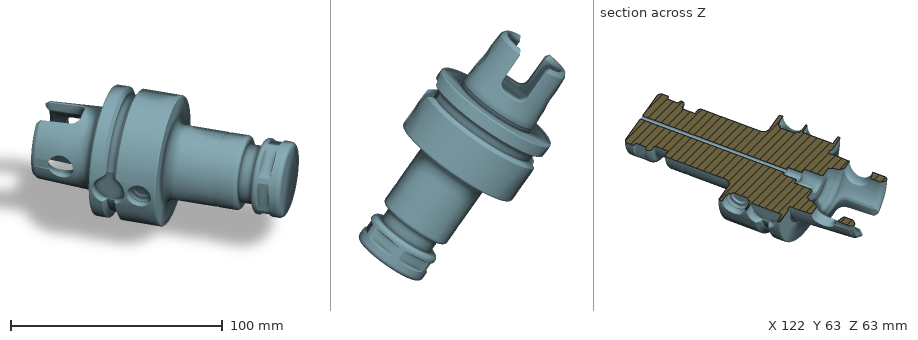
import cadquery as cq
import math

length = 122.0

tip_radius = 17.3
tip_chamfer_length = 1.8
taper_start_radius = 18.5
taper_end_radius = 20.1
taper_end_x = 30.4
neck_radius = 19.9
neck_groove_radius = 19.6
neck_groove_start_x = 30.9
neck_groove_end_x = 31.2
relief_inner_radius = 21.4
relief_outer_radius = 21.8
relief_depth = 0.6

flange_radius = 31.5
flange_start_x = 32.1
flange_end_x = 64.8
flange_edge_length = 0.6
flange_edge_drop = 0.4
groove_left_x = 38.3
groove_right_x = 45.3
groove_floor_left_x = 39.8
groove_floor_right_x = 43.7
groove_chamfer_drop = 2.3
groove_floor_radius = 27.8

body_radius = 17.9
body_end_x = 100.6
body_root_fillet = 3.2
body_end_fillet = 1.7
band_start_x = 88.8
band_end_x = 90.8
band_depth = 0.1
stem_radius = 14.0

nut_radius = 18.3
nut_start_x = 107.6
nut_fillet = 2.2
flat_count = 6
flat_distance = 16.5
flat_start_x = 111.0
flat_end_x = 116.1
flat_wall_slope_length = 0.7

mouth_radius = 16.0
mouth_step_radius = 14.9
mouth_step_x = 0.9
mouth_end_x = 2.2
bore_radius = 13.9
bore_end_x = 21.7
ledge_end_x = 24.6
ledge_round_radius = 2.9
ledge_radius = 12.1
bore_floor_radius = 10.7
bore_floor_x = 28.0

socket_diameter = 11.0
socket_chamfer = 0.5
socket_depth = 9.8
passage_diameter = 5.0
passage_depth = 7.3
coolant_diameter = 2.0

slot_half_width = 7.2
slot_mouth_half_width = 8.3
slot_mouth_length = 2.3
slot_end_x = 20.4
slot_corner_radius = 4.1
slot_outer_chamfer = 0.4
slot_inner_chamfer = 0.7
tolerance = 0.01

ball_hole_diameter = 12.5
ball_hole_x = 15.0
ball_hole_tilt = 18
ball_flat_width = 4.9
ball_flat_distance = 18.3

pocket_diameter = 16.0
pocket_x = 41.7
pocket_floor_distance = 26.4
screw_x = 56.7
screw_steps = [(12.0, 27.3), (11.2, 25.4), (8.0, 24.2)]


def revolve_about_x(outline):
    return outline.close().revolve(360, (0, 0, 0), (1, 0, 0))


def cylinder_x(diameter, start_x, end_x):
    return cq.Workplane("YZ", origin=(start_x, 0, 0)).circle(diameter / 2).extrude(end_x - start_x)


def cylinder_y(diameter, x, start_y, end_y):
    return cq.Workplane("XZ", origin=(x, start_y, 0)).circle(diameter / 2).extrude(start_y - end_y)


def make_outer_body():
    diagonal = math.sqrt(0.5)
    root_center_x = flange_end_x + body_root_fillet
    root_center_r = body_radius + body_root_fillet
    body_round_x = body_end_x - body_end_fillet
    body_round_r = body_radius - body_end_fillet
    nut_left_x = nut_start_x + nut_fillet
    nut_right_x = length - nut_fillet
    nut_round_r = nut_radius - nut_fillet
    edge_radius = flange_radius - flange_edge_drop
    band_radius = body_radius - band_depth
    outline = (
        cq.Workplane("XY")
        .moveTo(0, 0)
        .lineTo(0, tip_radius)
        .lineTo(tip_chamfer_length, taper_start_radius)
        .lineTo(taper_end_x, taper_end_radius)
        .lineTo(neck_groove_start_x, neck_groove_radius)
        .lineTo(neck_groove_end_x, neck_groove_radius)
        .lineTo(neck_groove_end_x + neck_radius - neck_groove_radius, neck_radius)
        .lineTo(flange_start_x + relief_depth, neck_radius)
        .lineTo(flange_start_x + relief_depth, relief_inner_radius)
        .lineTo(flange_start_x, relief_outer_radius)
        .lineTo(flange_start_x, edge_radius)
        .lineTo(flange_start_x + flange_edge_length, flange_radius)
        .lineTo(groove_left_x, flange_radius)
        .lineTo(groove_floor_left_x, flange_radius - groove_chamfer_drop)
        .lineTo(groove_floor_left_x, groove_floor_radius)
        .lineTo(groove_floor_right_x, groove_floor_radius)
        .lineTo(groove_floor_right_x, flange_radius - groove_chamfer_drop)
        .lineTo(groove_right_x, flange_radius)
        .lineTo(flange_end_x - flange_edge_length, flange_radius)
        .lineTo(flange_end_x, edge_radius)
        .lineTo(flange_end_x, root_center_r)
        .threePointArc(
            (root_center_x - body_root_fillet * diagonal, root_center_r - body_root_fillet * diagonal),
            (root_center_x, body_radius),
        )
        .lineTo(band_start_x, body_radius)
        .lineTo(band_start_x, band_radius)
        .lineTo(band_end_x, band_radius)
        .lineTo(band_end_x, body_radius)
        .lineTo(body_round_x, body_radius)
        .threePointArc(
            (body_round_x + body_end_fillet * diagonal, body_round_r + body_end_fillet * diagonal),
            (body_end_x, body_round_r),
        )
        .lineTo(body_end_x, stem_radius)
        .lineTo(nut_start_x, stem_radius)
        .lineTo(nut_start_x, nut_round_r)
        .threePointArc(
            (nut_left_x - nut_fillet * diagonal, nut_round_r + nut_fillet * diagonal),
            (nut_left_x, nut_radius),
        )
        .lineTo(nut_right_x, nut_radius)
        .threePointArc(
            (nut_right_x + nut_fillet * diagonal, nut_round_r + nut_fillet * diagonal),
            (length, nut_round_r),
        )
        .lineTo(length, 0)
    )
    return revolve_about_x(outline)


def make_shank_bore():
    outline = (
        cq.Workplane("XY")
        .moveTo(0, 0)
        .lineTo(0, bore_radius)
        .lineTo(bore_end_x, bore_radius)
        .radiusArc((ledge_end_x, ledge_radius), -ledge_round_radius)
        .lineTo(bore_floor_x, bore_floor_radius)
        .lineTo(bore_floor_x, 0)
    )
    return revolve_about_x(outline)


def make_bore_mouth():
    outline = (
        cq.Workplane("XY")
        .moveTo(0, 0)
        .lineTo(0, mouth_radius)
        .lineTo(mouth_step_x, mouth_step_radius)
        .lineTo(mouth_end_x, bore_radius)
        .lineTo(mouth_end_x, 0)
    )
    return revolve_about_x(outline)


def make_coolant_passage():
    socket_end_x = bore_floor_x + socket_depth
    socket = cylinder_x(socket_diameter - 2 * socket_chamfer, bore_floor_x, socket_end_x)
    lead_in = revolve_about_x(
        cq.Workplane("XY")
        .moveTo(bore_floor_x, 0)
        .lineTo(bore_floor_x, socket_diameter / 2)
        .lineTo(bore_floor_x + socket_chamfer, socket_diameter / 2 - socket_chamfer)
        .lineTo(bore_floor_x + socket_chamfer, 0)
    )
    passage = cylinder_x(passage_diameter, socket_end_x, socket_end_x + passage_depth)
    coolant_hole = cylinder_x(coolant_diameter, bore_floor_x, length)
    return socket.union(lead_in).union(passage).union(coolant_hole)


def rim_selector(reach):
    """Select the slot edges behind its mouth that lie within a given distance above and below the axis."""
    return cq.selectors.BoxSelector(
        (slot_mouth_length - tolerance, -slot_half_width - tolerance, -reach - tolerance),
        (slot_end_x + tolerance, slot_half_width + tolerance, reach + tolerance),
        boundingbox=True,
    )


def cut_drive_slot(shank):
    corner_x = slot_end_x - slot_corner_radius
    end_half_width = slot_half_width - slot_corner_radius
    slot = (
        cq.Workplane("XY", origin=(0, 0, -flange_radius))
        .moveTo(0, -slot_mouth_half_width)
        .lineTo(slot_mouth_length, -slot_half_width)
        .lineTo(corner_x, -slot_half_width)
        .radiusArc((slot_end_x, -end_half_width), -slot_corner_radius)
        .lineTo(slot_end_x, end_half_width)
        .radiusArc((corner_x, slot_half_width), -slot_corner_radius)
        .lineTo(slot_mouth_length, slot_half_width)
        .lineTo(0, slot_mouth_half_width)
        .close()
        .extrude(2 * flange_radius)
    )
    slotted = shank.cut(slot)
    inner_rims = slotted.edges(rim_selector(bore_radius)).edges("not |Z")
    slotted = inner_rims.chamfer(slot_inner_chamfer)
    outer_rims = slotted.edges(rim_selector(flange_radius) - rim_selector(bore_radius + 1.2)).edges("not |Z")
    return outer_rims.chamfer(slot_outer_chamfer)


def make_ball_holes():
    holes = cylinder_y(ball_hole_diameter, ball_hole_x, flange_radius, -flange_radius)
    flat_depth = taper_end_radius - ball_flat_distance
    for side in (-1, 1):
        tilted = cylinder_y(ball_hole_diameter, ball_hole_x, side * ball_flat_distance, 0)
        pivot = (ball_hole_x, side * ball_flat_distance, 0)
        pivot_top = (ball_hole_x, side * ball_flat_distance, 1)
        holes = holes.union(tilted.rotate(pivot, pivot_top, -side * ball_hole_tilt))
        flat = cq.Workplane("XY").box(ball_hole_x, flat_depth, ball_flat_width).translate(
            (ball_hole_x / 2, side * (ball_flat_distance + flat_depth / 2), 0)
        )
        holes = holes.union(flat)
    return holes


def make_flange_holes():
    holes = cq.Workplane("XY")
    for side in (-1, 1):
        rim = side * flange_radius
        holes = holes.add(cylinder_y(pocket_diameter, pocket_x, rim, side * pocket_floor_distance))
        for diameter, floor_distance in screw_steps:
            holes = holes.add(cylinder_y(diameter, screw_x, rim, side * floor_distance))
    return holes.combine()


def make_wrench_flats():
    cutter = (
        cq.Workplane("XY", origin=(0, 0, -nut_radius))
        .moveTo(flat_start_x, flat_distance)
        .lineTo(flat_end_x, flat_distance)
        .lineTo(flat_end_x + flat_wall_slope_length, nut_radius)
        .lineTo(flat_start_x - flat_wall_slope_length, nut_radius)
        .close()
        .extrude(2 * nut_radius)
    )
    flats = cq.Workplane("XY")
    for index in range(flat_count):
        flats = flats.add(cutter.rotate((0, 0, 0), (1, 0, 0), index * 360 / flat_count))
    return flats.combine()


result = make_outer_body().cut(make_shank_bore()).cut(make_coolant_passage())
result = cut_drive_slot(result)
result = result.cut(make_bore_mouth())
result = result.cut(make_ball_holes())
result = result.cut(make_flange_holes())
result = result.cut(make_wrench_flats())